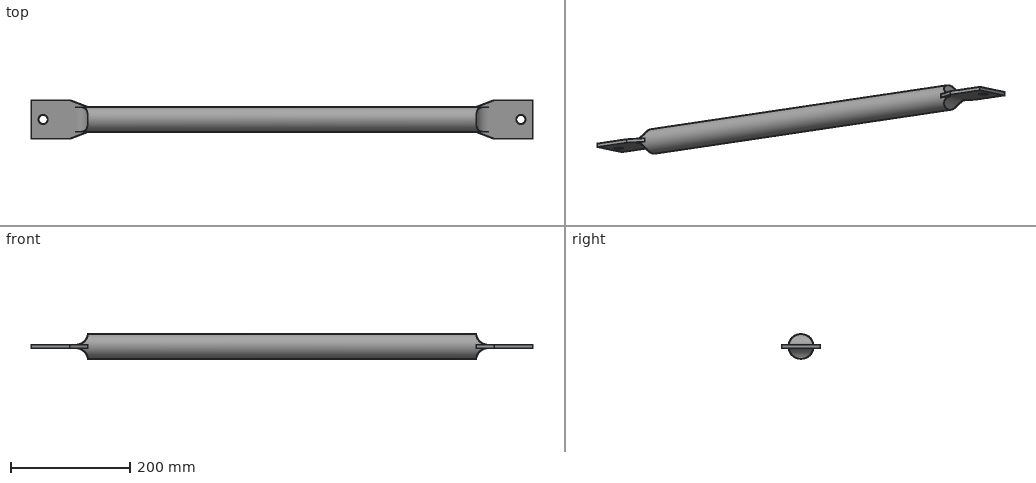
import cadquery as cq

overall_length = 840.0
bar_diameter = 42.0

plate_width = 65.0
plate_thickness = 6.0
plate_straight_length = 65.0
plate_length = 95.0
plate_root_width = bar_diameter

hole_diameter = 15.0
hole_end_distance = 20.0

scoop_radius = 20.0

bar_radius = bar_diameter / 2
half_length = overall_length / 2
half_thickness = plate_thickness / 2
plate_root_x = half_length - plate_length
scoop_start_x = plate_root_x + scoop_radius
scoop_center_z = half_thickness + scoop_radius


def make_bar():
    """Solid round bar along X, reaching the outer edge of both scoops."""
    return cq.Workplane("YZ").circle(bar_radius).extrude(scoop_start_x, both=True)


def make_scoop_cutter():
    """Material above the plate at the +X end, bounded inward by the concave scoop."""
    return (
        cq.Workplane("XZ")
        .moveTo(scoop_start_x, half_thickness)
        .radiusArc((plate_root_x, scoop_center_z), scoop_radius)
        .lineTo(scoop_start_x, scoop_center_z)
        .close()
        .extrude(bar_diameter, both=True)
    )


def make_plate():
    """End plate at the +X end, tapering inward to the bar, with its bolt hole."""
    taper_start_x = half_length - plate_straight_length
    half_width = plate_width / 2
    half_root_width = plate_root_width / 2
    outline = [
        (half_length, -half_width),
        (half_length, half_width),
        (taper_start_x, half_width),
        (plate_root_x, half_root_width),
        (plate_root_x, -half_root_width),
        (taper_start_x, -half_width),
    ]
    plate = cq.Workplane("XY").polyline(outline).close().extrude(half_thickness, both=True)
    hole = (
        cq.Workplane("XY")
        .center(half_length - hole_end_distance, 0)
        .circle(hole_diameter / 2)
        .extrude(plate_thickness, both=True)
    )
    return plate.cut(hole)


upper_scoop = make_scoop_cutter()
lower_scoop = upper_scoop.mirror("XY")
end_plate = make_plate()

result = make_bar()
for scoop in (upper_scoop, lower_scoop):
    result = result.cut(scoop).cut(scoop.mirror("YZ"))
result = result.union(end_plate).union(end_plate.mirror("YZ"))